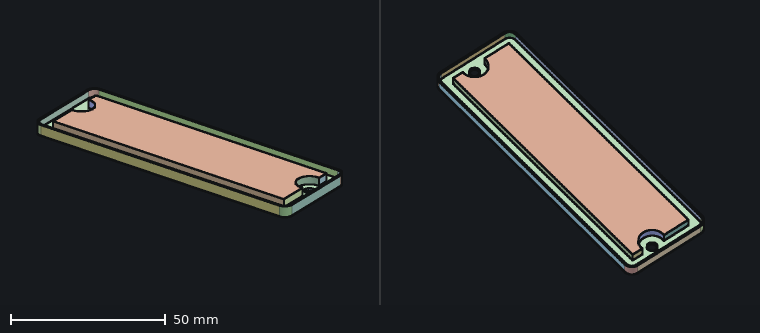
import cadquery as cq

length = 102.0
width = 32.0
height = 4.0
corner_radius = 3.0
wall = 0.5
floor = 1.0

island_length = 93.0
island_width = 23.1

hole_x = 46.0
hole_y = 3.1
hole_diameter = 3.5
clearance_radius = 4.5

cavity_depth = height - floor
hole_centers = [(-hole_x, hole_y), (hole_x, hole_y)]


def rounded_plate(size_x, size_y, thickness, radius):
    """Plate centred on Z with rounded vertical corners, resting on Z = 0."""
    plate = cq.Workplane("XY").box(size_x, size_y, thickness, centered=(True, True, False))
    return plate.edges("|Z").fillet(radius)


def make_tray():
    """Thin-walled tray, open at the top."""
    outside = rounded_plate(length, width, height, corner_radius)
    cavity = rounded_plate(length - 2 * wall, width - 2 * wall, cavity_depth, corner_radius - wall)
    return outside.cut(cavity.translate((0, 0, floor)))


def make_island():
    """Rectangular block on the tray floor, notched around the screw holes."""
    base = cq.Workplane("XY").workplane(offset=floor)
    block = base.rect(island_length, island_width).extrude(cavity_depth)
    notches = base.pushPoints(hole_centers).circle(clearance_radius).extrude(cavity_depth)
    return block.cut(notches)


screw_holes = cq.Workplane("XY").pushPoints(hole_centers).circle(hole_diameter / 2).extrude(floor)

result = make_tray().union(make_island()).cut(screw_holes)